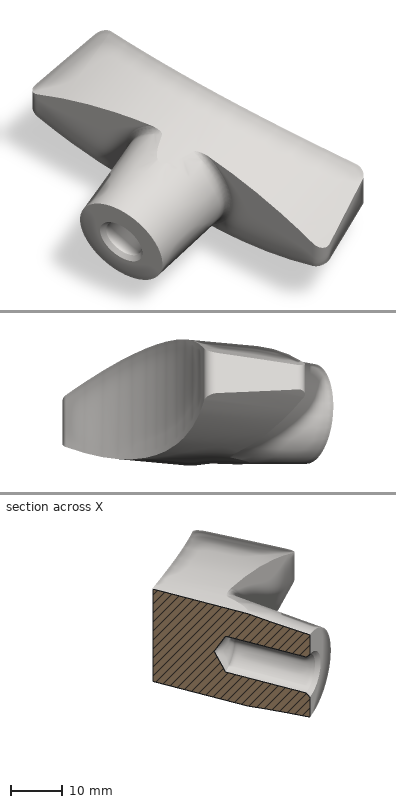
import cadquery as cq

length = 70.0
corner_overhang = 0.48
wing_half_width = length / 2 + corner_overhang
wing_corner_y = 18.5
wing_belly_y = 20.65
tip_half_width = 31.35
tip_y = 39.5
saddle_y = 33.95
corner_radius = 2.1

half_height = 11.0
end_half_height = 2.2

boss_end_radius = 9.8
boss_root_radius = 11.55
boss_root_y = 19.8
boss_top_y = 23.8
root_fillet = 1.05

hole_radius = 4.2
mouth_radius = 5.05
hole_depth = 18.2
bottom_cone_depth = 2.45


def make_wing():
    """Wing outline extruded taller than the lens that trims it."""
    return (
        cq.Workplane("XY")
        .moveTo(0, wing_belly_y)
        .lineTo(wing_half_width, wing_corner_y)
        .lineTo(tip_half_width, tip_y)
        .threePointArc((0, saddle_y), (-tip_half_width, tip_y))
        .lineTo(-wing_half_width, wing_corner_y)
        .close()
        .extrude(1.5 * half_height, both=True)
        .edges("|Z")
        .edges("<X or >X or >Y")
        .fillet(corner_radius)
    )


def revolve_about_y(points):
    return cq.Workplane("XY").polyline(points).close().revolve(360, (0, 0, 0), (0, 1, 0))


def make_boss():
    taper = (boss_root_radius - boss_end_radius) / boss_root_y
    top_radius = boss_end_radius + taper * boss_top_y
    return revolve_about_y([(0, 0), (boss_end_radius, 0), (top_radius, boss_top_y), (0, boss_top_y)])


def make_lens():
    """Two shallow arcs that bound the whole handle above and below."""
    half_length = wing_half_width
    return (
        cq.Workplane("XZ")
        .moveTo(-half_length, end_half_height)
        .threePointArc((0, half_height), (half_length, end_half_height))
        .lineTo(half_length, -end_half_height)
        .threePointArc((0, -half_height), (-half_length, -end_half_height))
        .close()
        .extrude(-tip_y)
    )


def make_hole():
    chamfer = mouth_radius - hole_radius
    return revolve_about_y([
        (0, 0),
        (mouth_radius, 0),
        (hole_radius, chamfer),
        (hole_radius, hole_depth),
        (0, hole_depth + bottom_cone_depth),
    ])


handle = make_wing().union(make_boss())

joint_half_width = boss_root_radius + 2 * root_fillet
joint_zone = cq.selectors.BoxSelector(
    (-joint_half_width, wing_corner_y, -joint_half_width),
    (joint_half_width, wing_belly_y + root_fillet, joint_half_width),
)
handle = handle.edges(joint_zone).edges("not |Z").fillet(root_fillet)

result = handle.intersect(make_lens()).cut(make_hole())